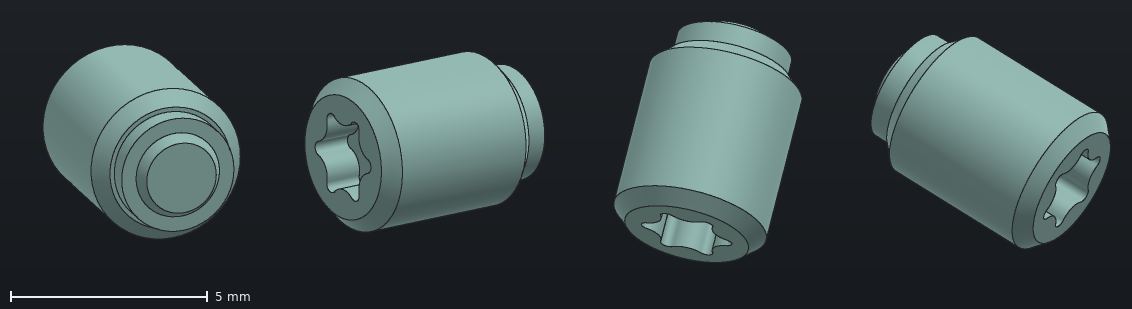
import cadquery as cq
import math

total_length = 5.6

body_length = 4.7
body_radius = 2.0
body_chamfer = 0.38

lobe_count = 6
socket_tip_radius = 1.175
socket_valley_radius = 0.85
lobe_radius = 0.19
socket_depth = 1.03

collar_end = 5.3
collar_radius = 1.5
tip_base_radius = 1.115
tip_end_radius = 0.93


def polar(radius, angle):
    return (radius * math.cos(angle), radius * math.sin(angle))


def lobed_outline():
    """Alternating convex lobe arcs and concave valley arcs, tangent where they meet."""
    half_pitch = math.pi / lobe_count
    lobe_centre = socket_tip_radius - lobe_radius

    offset = socket_valley_radius - lobe_centre * math.cos(half_pitch)
    side = lobe_centre * math.sin(half_pitch)
    valley_radius = (offset**2 + side**2 - lobe_radius**2) / (2 * (lobe_radius - offset))
    valley_centre = socket_valley_radius + valley_radius

    share = lobe_radius / (lobe_radius + valley_radius)
    valley_x, valley_y = polar(valley_centre, half_pitch)
    joint_x = lobe_centre + share * (valley_x - lobe_centre)
    joint_y = share * valley_y
    joint_radius = math.hypot(joint_x, joint_y)
    joint_angle = math.atan2(joint_y, joint_x)

    outline = cq.Workplane("YZ").moveTo(*polar(joint_radius, -joint_angle))
    for index in range(lobe_count):
        lobe_angle = 2 * half_pitch * index
        valley_angle = lobe_angle + half_pitch
        next_lobe_angle = valley_angle + half_pitch
        outline = outline.threePointArc(
            polar(socket_tip_radius, lobe_angle),
            polar(joint_radius, lobe_angle + joint_angle),
        ).threePointArc(
            polar(socket_valley_radius, valley_angle),
            polar(joint_radius, next_lobe_angle - joint_angle),
        )
    return outline.close()


def make_screw_body():
    """Cylinder chamfered at both ends, with the blind drive socket in its X = 0 face."""
    cylinder = cq.Workplane("YZ").circle(body_radius).extrude(body_length)
    blank = cylinder.faces("<X or >X").chamfer(body_chamfer)
    socket = lobed_outline().extrude(socket_depth)
    return blank.cut(socket)


def make_thrust_pin():
    """Collar resting on the end of the body, with a flat-ended spherical tip."""
    middle_x = (collar_end + total_length) / 2
    tip_length = total_length - collar_end
    sphere_centre = middle_x - (tip_base_radius**2 - tip_end_radius**2) / (2 * tip_length)
    sphere_radius = math.hypot(collar_end - sphere_centre, tip_base_radius)
    tip_middle_radius = math.sqrt(sphere_radius**2 - (middle_x - sphere_centre) ** 2)

    profile = (
        cq.Workplane("XY")
        .moveTo(body_length, 0)
        .lineTo(body_length, collar_radius)
        .lineTo(collar_end, collar_radius)
        .lineTo(collar_end, tip_base_radius)
        .threePointArc((middle_x, tip_middle_radius), (total_length, tip_end_radius))
        .lineTo(total_length, 0)
        .close()
    )
    return profile.revolve(360, (0, 0, 0), (1, 0, 0))


screw_body = make_screw_body()
thrust_pin = make_thrust_pin()
result = cq.Compound.makeCompound([screw_body.val(), thrust_pin.val()])